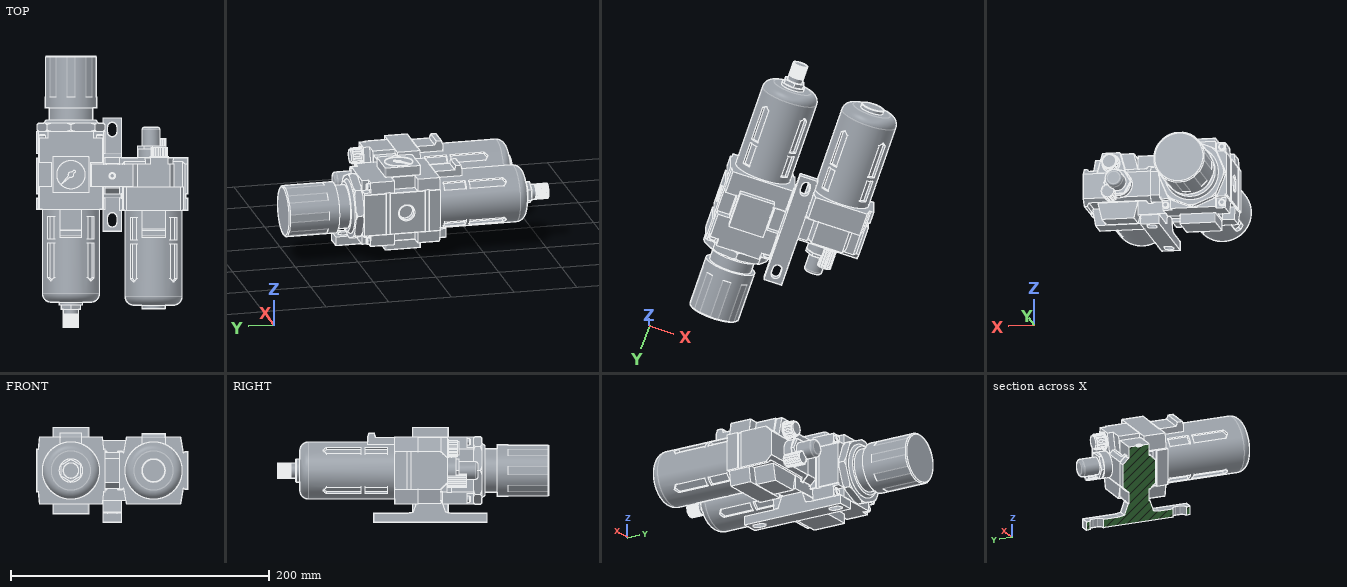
import cadquery as cq
import math


BODY_HALF_X = 26.5
BODY_HALF_Z = 26.0
SPACER_WIDTH = 11.0
SPACER_X = BODY_HALF_X + SPACER_WIDTH / 2
LUBRICATOR_X = 2 * SPACER_X
REGULATOR_SHOULDER_Y = -26.8
LUBRICATOR_SHOULDER_Y = -27.6
REAR_FACE_Y = 13.1

BOWL_RADIUS = 22.2
BOWL_END_FILLET = 7.0
BOWL_BOSS_RADIUS = 9.1
WINDOW_WIDTH = 7.0
WINDOW_FLOOR_RADIUS = 19.6
WINDOW_GAP = 3.0
SHORT_WINDOW_START = 5.6
SHORT_WINDOW_LENGTH = 17.4
LONG_WINDOW_LENGTH = 27.0
LONG_WINDOW_TIP = 2.4

CLAMP_NOTCH_HALF_Y = 9.3
CLAMP_NOTCH_X = 15.2
CLAMP_REACH = 16.0
CLAMP_TOP_Z = 23.4
CLAMP_BELOW_Z = 14.8
REGULATOR_PAD_HALF_Z = 16.6
LUBRICATOR_PAD_HALF_Z = 14.7
TROUGH_FLOOR_Z = 12.6
TROUGH_FLOOR_X = 22.4
TROUGH_RIM_X = 24.2
PAD_GROOVE_YS = (14.65, -16.45)
PAD_GROOVE_WIDTH = 3.3
PAD_GROOVE_FLOOR_X = 25.2

SIDES = (-1, 1)


def block(x_range, y_range, z_range):
    """Box between two X, two Y and two Z values."""
    size = [high - low for low, high in (x_range, y_range, z_range)]
    corner = (x_range[0], y_range[0], z_range[0])
    return cq.Workplane("XY").box(*size, centered=False).translate(corner)


def prism_y(outline, y_low, y_high):
    """Prism along Y with an outline of (x, z) points."""
    return cq.Workplane("XZ", origin=(0, y_low, 0)).polyline(outline).close().extrude(y_low - y_high)


def prism_x(outline, x_low, x_high):
    """Prism along X with an outline of (y, z) points."""
    return cq.Workplane("YZ", origin=(x_low, 0, 0)).polyline(outline).close().extrude(x_high - x_low)


def rod(radius, y_low, y_high, x=0, z=0):
    """Cylinder along Y."""
    return cq.Workplane("XZ", origin=(x, y_low, z)).circle(radius).extrude(y_low - y_high)


def turned(outline):
    """Solid of revolution about Y with an outline of (radius, y) points."""
    return cq.Workplane("XY").polyline(outline).close().revolve(360, (0, 0), (0, 1))


def polygon_rod(sides, circumdiameter, y_low, y_high, turn=0):
    """Regular polygonal bar along Y; one corner points along X before turning."""
    bar = cq.Workplane("XZ", origin=(0, y_low, 0)).polygon(sides, circumdiameter).extrude(y_low - y_high)
    return bar.rotate((0, 0, 0), (0, 1, 0), turn)


def hex_rod(across_flats, y_low, y_high, turn=0):
    """Hexagonal bar along Y, sized across its flats."""
    return polygon_rod(6, across_flats / math.cos(math.pi / 6), y_low, y_high, turn)


def fluted_rod(radius, depth, flutes, y_low, y_high):
    """Cylinder along Y with V-shaped flutes around it."""
    outline = []
    for index in range(flutes):
        crest = 2 * math.pi * index / flutes
        root = crest + math.pi / flutes
        outline.append((radius * math.cos(crest), radius * math.sin(crest)))
        outline.append(((radius - depth) * math.cos(root), (radius - depth) * math.sin(root)))
    return prism_y(outline, y_low, y_high)


def mirrored(shape, flip_x, flip_z):
    """Copy of a shape, flipped across the YZ plane, the XY plane or both."""
    if flip_x:
        shape = shape.mirror("YZ")
    if flip_z:
        shape = shape.mirror("XY")
    return shape


def window(y_start, length, tip):
    """Cutter for a flat-floored bowl window, on the +Z side; a tip points toward -Y."""
    half = WINDOW_WIDTH / 2
    y_end = y_start - length
    outline = [(-half, y_start), (half, y_start), (half, y_end), (0, y_end - tip), (-half, y_end)]
    if tip == 0:
        outline.pop(3)
    plane = cq.Workplane("XY", origin=(0, 0, WINDOW_FLOOR_RADIUS))
    return plane.polyline(outline).close().extrude(BOWL_RADIUS)


def bowl(shoulder_y, end_y):
    """Round-ended bowl with four pairs of windows."""
    shape = rod(BOWL_RADIUS, end_y, shoulder_y).faces("<Y").edges().fillet(BOWL_END_FILLET)
    short_y = shoulder_y - SHORT_WINDOW_START
    long_y = short_y - SHORT_WINDOW_LENGTH - WINDOW_GAP
    short_window = window(short_y, SHORT_WINDOW_LENGTH, 0)
    long_window = window(long_y, LONG_WINDOW_LENGTH, LONG_WINDOW_TIP)
    for angle in (45, 135, 225, 315):
        for cutter in (short_window, long_window):
            shape = shape.cut(cutter.rotate((0, 0, 0), (0, 1, 0), angle))
    return shape


def latch(half_width, shoulder_y, flat_z, bump_z, bump_y, bump_run):
    """Bowl release slide: a flat tongue ending in a thumb bump with a sloped nose."""
    end_y = -48.6
    nose_run = 1.0
    nose_drop = 3.1
    outline = [
        (shoulder_y, 0),
        (shoulder_y, flat_z),
        (bump_y, flat_z),
        (bump_y - bump_run, bump_z),
        (end_y + nose_run, bump_z),
        (end_y, bump_z - nose_drop),
        (end_y, 0),
    ]
    return prism_x(outline, -half_width, half_width)


REGULATOR_TOP_Y = 33.5


def regulator_housing():
    pad = REGULATOR_PAD_HALF_Z
    step_x = 25.3
    face_x = 24.4
    quarter = [(BODY_HALF_X, pad), (step_x, pad), (face_x, BODY_HALF_Z)]
    right = [(x, -z) for x, z in reversed(quarter)] + quarter
    outline = right + [(-x, -z) for x, z in right]
    housing = prism_y(outline, REGULATOR_SHOULDER_Y, REGULATOR_TOP_Y)

    notch_y = (-CLAMP_NOTCH_HALF_Y, CLAMP_NOTCH_HALF_Y)
    pocket_x = 17.6
    pocket_z = 18.0
    pocket_floor_y = 28.3
    screw_center = 22.2
    screw_radius = 2.5
    screw_height = 2.8
    screw_chamfer = 0.6
    groove_half_z = 17.1
    notch_floor_z = 16.2
    notch = block((CLAMP_NOTCH_X, step_x), notch_y, (notch_floor_z, BODY_HALF_Z))
    pocket = block((pocket_x, BODY_HALF_X), (pocket_floor_y, REGULATOR_TOP_Y), (pocket_z, BODY_HALF_Z))
    screw = rod(screw_radius, pocket_floor_y, pocket_floor_y + screw_height, screw_center, screw_center)
    screw = screw.faces(">Y").edges().chamfer(screw_chamfer)
    cutter = notch.union(pocket)
    for flip_x in (False, True):
        for flip_z in (False, True):
            housing = housing.cut(mirrored(cutter, flip_x, flip_z))
            housing = housing.union(mirrored(screw, flip_x, flip_z))

    for side in SIDES:
        x_range = sorted((side * PAD_GROOVE_FLOOR_X, side * (BODY_HALF_X + 1)))
        for y in PAD_GROOVE_YS:
            y_range = (y - PAD_GROOVE_WIDTH / 2, y + PAD_GROOVE_WIDTH / 2)
            housing = housing.cut(block(x_range, y_range, (-groove_half_z, groove_half_z)))
    return housing


def inlet_port():
    """Cutter for the inlet on the -X face, with its countersunk mouth."""
    radius = 11.45 / 2
    depth = 5.0
    mouth_chamfer = 0.8
    face = cq.Workplane("YZ", origin=(-BODY_HALF_X, 0, 0))
    cone = cq.Solid.makeCone(
        radius + mouth_chamfer, radius, mouth_chamfer, cq.Vector(-BODY_HALF_X, 0, 0), cq.Vector(1, 0, 0)
    )
    return face.circle(radius).extrude(depth).union(cq.Workplane(cone))


def gauge():
    """Square gauge block through the housing, with a dial and pointer on the +Z face."""
    size = 28.0
    half_z = 33.5
    edge_fillet = 0.6
    dial_radius = 11.0
    dial_depth = 0.5
    hub_radius = 2.1
    needle_length = 10.2
    needle_half_width = 1.0
    tail_length = 4.3
    tail_half_width = 0.9
    pointer_angle = 225
    shape = cq.Workplane("XY").box(size, size, 2 * half_z).edges("|Z").fillet(edge_fillet)
    dial = cq.Workplane("XY", origin=(0, 0, half_z - dial_depth))
    pointer = dial.circle(hub_radius).extrude(dial_depth)
    needle = [(0, -needle_half_width), (needle_length, 0), (0, needle_half_width)]
    pointer = pointer.union(dial.polyline(needle).close().extrude(dial_depth))
    tail_z = (half_z - dial_depth, half_z)
    pointer = pointer.union(block((-tail_length, 0), (-tail_half_width, tail_half_width), tail_z))
    pointer = pointer.rotate((0, 0, 0), (0, 0, 1), pointer_angle)
    return shape.cut(dial.circle(dial_radius).extrude(dial_depth)).union(pointer)


def adjusting_knob():
    """Bonnet nut, neck and the pressure knob with its grip flats."""
    knob_top_y = 92.0
    knob_low_y = 51.8
    knob_radius = 20.0
    knob_chamfer = 1.0
    flat_low_y = 60.0
    flat_distance = 19.75
    flat_count = 8
    neck_radius = 17.0
    nut_low_y = REGULATOR_TOP_Y
    nut_high_y = 39.9
    nut_radius = 26.3
    nut_chamfer = 1.1
    collar_high_y = 42.4
    collar_low_radius = 21.3
    collar_high_radius = 19.3

    knob = rod(knob_radius, knob_low_y, knob_top_y).faces(">Y").edges().chamfer(knob_chamfer)
    flat = block((-knob_radius, knob_radius), (flat_low_y, knob_top_y), (flat_distance, knob_radius + 1))
    for index in range(flat_count):
        knob = knob.cut(flat.rotate((0, 0, 0), (0, 1, 0), index * 360 / flat_count))

    blank = rod(nut_radius, nut_low_y, nut_high_y).edges().chamfer(nut_chamfer)
    nut = polygon_rod(8, 2 * nut_radius, nut_low_y, nut_high_y).intersect(blank)
    collar = [
        (0, nut_high_y),
        (collar_low_radius, nut_high_y),
        (collar_high_radius, collar_high_y),
        (0, collar_high_y),
    ]
    return nut.union(turned(collar)).union(rod(neck_radius, collar_high_y, knob_low_y)).union(knob)


def drain(bowl_end_y):
    """Drain boss, hexagon and knurled drain knob under the bowl."""
    boss_end_y = -101.1
    hex_end_y = -104.4
    stem_end_y = -108.0
    knob_end_y = -118.5
    hex_across_flats = 15.0
    stem_radius = 6.0
    knurl_root_radius = 11.45 / 2
    knurl_count = 24
    shape = rod(BOWL_BOSS_RADIUS, boss_end_y, bowl_end_y)
    shape = shape.union(hex_rod(hex_across_flats, hex_end_y, boss_end_y, 90))
    shape = shape.union(rod(stem_radius, stem_end_y, hex_end_y))
    knurl_depth = stem_radius - knurl_root_radius
    return shape.union(fluted_rod(stem_radius, knurl_depth, knurl_count, knob_end_y, stem_end_y))


def make_regulator():
    bowl_end_y = -98.9
    shape = regulator_housing().union(gauge()).cut(inlet_port())
    shape = shape.union(adjusting_knob())
    shape = shape.union(bowl(REGULATOR_SHOULDER_Y, bowl_end_y))
    slide = latch(
        half_width=8.3,
        shoulder_y=REGULATOR_SHOULDER_Y,
        flat_z=25.7,
        bump_z=29.2,
        bump_y=-42.8,
        bump_run=0.6,
    )
    shape = shape.union(slide)
    return shape.union(drain(bowl_end_y))


LOWER_BLOCK_TOP_Y = -9.5
RIB_BACK_Y = 8.1


def lubricator_housing():
    pad = LUBRICATOR_PAD_HALF_Z
    chamfer = 4.9
    back = [(REAR_FACE_Y - chamfer, pad), (REAR_FACE_Y, pad - chamfer)]
    outline = [(LUBRICATOR_SHOULDER_Y, -pad), (LUBRICATOR_SHOULDER_Y, pad)] + back
    outline += [(y, -z) for y, z in reversed(back)]
    housing = prism_x(outline, -BODY_HALF_X, BODY_HALF_X)

    for side_x in SIDES:
        for side_z in SIDES:
            trough = [(0, TROUGH_FLOOR_Z), (TROUGH_FLOOR_X, TROUGH_FLOOR_Z), (TROUGH_RIM_X, pad), (0, pad)]
            trough = [(side_x * x, side_z * z) for x, z in trough]
            housing = housing.cut(prism_y(trough, LUBRICATOR_SHOULDER_Y, REAR_FACE_Y))

    block_face_x = 21.0
    block_foot = (23.2, 13.5)
    lower = [(block_face_x, BODY_HALF_Z), block_foot]
    lower += [(x, -z) for x, z in reversed(lower)]
    lower += [(-x, -z) for x, z in lower]
    housing = housing.union(prism_y(lower, LUBRICATOR_SHOULDER_Y, LOWER_BLOCK_TOP_Y))

    rib_face_x = 12.6
    rib_face_z = 25.7
    rib_foot_x = 15.8
    rib = [(rib_face_x, rib_face_z), (rib_foot_x, TROUGH_FLOOR_Z)]
    rib += [(x, -z) for x, z in reversed(rib)]
    rib += [(-x, -z) for x, z in rib]
    housing = housing.union(prism_y(rib, LOWER_BLOCK_TOP_Y, RIB_BACK_Y))

    for side in SIDES:
        x_range = sorted((side * PAD_GROOVE_FLOOR_X, side * (BODY_HALF_X + 1)))
        y_range = (PAD_GROOVE_YS[1] - PAD_GROOVE_WIDTH / 2, PAD_GROOVE_YS[1] + PAD_GROOVE_WIDTH / 2)
        housing = housing.cut(block(x_range, y_range, (-pad, pad)))
    return housing


def flow_control():
    """Adjusting knob on its tongue at the back of the rib, and a fluted post below the sight dome."""
    knob_x = 4.4
    knob_z = 17.2
    tongue_half_face = 6.8
    tongue_half_foot = 11.2
    tongue_foot_z = 10.0
    tongue_face_z = 25.7
    tongue = [
        (knob_x - tongue_half_foot, tongue_foot_z),
        (knob_x + tongue_half_foot, tongue_foot_z),
        (knob_x + tongue_half_face, tongue_face_z),
        (knob_x - tongue_half_face, tongue_face_z),
    ]
    shape = prism_y(tongue, 0, REAR_FACE_Y)

    flange_radius = 7.0
    flange_end_y = 14.0
    knob_end_y = 20.9
    cap_end_y = 22.2
    knob_radius = 6.2
    cap_radius = 5.3
    flutes = 16
    flute_depth = 0.6
    shape = shape.union(rod(flange_radius, REAR_FACE_Y, flange_end_y, knob_x, knob_z))
    knob = fluted_rod(knob_radius, flute_depth, flutes, flange_end_y, knob_end_y)
    knob = knob.union(rod(cap_radius, knob_end_y, cap_end_y))
    shape = shape.union(knob.translate((knob_x, 0, knob_z)))

    post_z = -8.0
    post_end_y = 28.0
    post = fluted_rod(cap_radius, flute_depth, flutes, REAR_FACE_Y, post_end_y)
    return shape.union(post.translate((knob_x, 0, post_z)))


def sight_dome():
    """Sight dome on a round base and hexagon at the back."""
    dome_x = -2.0
    base_radius = 10.4
    base_end_y = 19.8
    hex_across_flats = 18.2
    hex_end_y = 22.3
    dome_radius = 7.0
    dome_end_y = 36.8
    dome_fillet = 2.0
    shape = rod(base_radius, REAR_FACE_Y, base_end_y)
    hexagon = hex_rod(hex_across_flats, base_end_y, hex_end_y)
    dome = rod(dome_radius, hex_end_y, dome_end_y).faces(">Y").edges().fillet(dome_fillet)
    return shape.union(hexagon).union(dome).translate((dome_x, 0, 0))


def make_lubricator():
    bowl_end_y = -101.2
    boss_end_y = -104.2
    boss_chamfer = 0.4
    shape = lubricator_housing().union(flow_control()).union(sight_dome())
    shape = shape.union(bowl(LUBRICATOR_SHOULDER_Y, bowl_end_y))
    slide = latch(
        half_width=9.1,
        shoulder_y=LUBRICATOR_SHOULDER_Y,
        flat_z=25.4,
        bump_z=28.6,
        bump_y=-42.2,
        bump_run=1.2,
    )
    shape = shape.union(slide)
    boss = rod(BOWL_BOSS_RADIUS, boss_end_y, bowl_end_y).faces("<Y").edges().chamfer(boss_chamfer)
    return shape.union(boss).translate((LUBRICATOR_X, 0, 0))


def spacer_core():
    """Chamfered block between the two mating faces."""
    half = 14.0
    flat_half = 9.4
    center_y = REAR_FACE_Y - half
    quarter = [(half, flat_half), (flat_half, half)]
    upper = quarter + [(-y, z) for y, z in reversed(quarter)]
    outline = [(center_y + y, z) for y, z in upper + [(-y, -z) for y, z in upper]]
    return prism_x(outline, BODY_HALF_X, BODY_HALF_X + SPACER_WIDTH)


def clamp():
    """Upper clamp plate, resting in the regulator notch and hooked into the lubricator trough."""
    y_low = -9.2
    y_high = 8.2
    neck_half_width = 4.4
    neck_low_z = 13.0
    left = SPACER_X - CLAMP_REACH
    right = SPACER_X + CLAMP_REACH
    outline = [
        (left, CLAMP_TOP_Z),
        (left, REGULATOR_PAD_HALF_Z),
        (BODY_HALF_X, REGULATOR_PAD_HALF_Z),
        (BODY_HALF_X, CLAMP_BELOW_Z),
        (LUBRICATOR_X - TROUGH_RIM_X, CLAMP_BELOW_Z),
        (LUBRICATOR_X - TROUGH_FLOOR_X, TROUGH_FLOOR_Z),
        (right, TROUGH_FLOOR_Z),
        (right, CLAMP_TOP_Z),
    ]
    plate = prism_y(outline, y_low, y_high)
    neck_x = (SPACER_X - neck_half_width, SPACER_X + neck_half_width)
    return plate.union(block(neck_x, (y_low, y_high), (neck_low_z, CLAMP_BELOW_Z)))


def clamp_screw_hole():
    """Cutter for the counterbored screw hole in the upper clamp."""
    screw_y = -0.9
    head_radius = 2.5
    head_depth = 0.5
    hole_radius = 1.75
    hole_depth = 1.0
    top = cq.Workplane("XY", origin=(SPACER_X, screw_y, CLAMP_TOP_Z))
    head = top.circle(head_radius).extrude(-head_depth)
    return head.union(top.circle(hole_radius).extrude(-hole_depth))


def wall_foot():
    """Slotted foot with the tapered pedestal that carries the lower clamp."""
    half_width = 7.3
    half_length = 44.0
    bottom_z = -40.1
    top_z = -33.0
    slot_y = 35.0
    slot_length = 11.0
    slot_width = 7.0
    x_range = (SPACER_X - half_width, SPACER_X + half_width)
    foot = block(x_range, (-half_length, half_length), (bottom_z, top_z))
    slots = cq.Workplane("XY", origin=(SPACER_X, 0, bottom_z)).pushPoints([(0, -slot_y), (0, slot_y)])
    foot = foot.cut(slots.slot2D(slot_length, slot_width, 90).extrude(top_z - bottom_z))

    pedestal_y = -0.7
    apron_half_y = 16.9
    base_half_y = 12.5
    base_z = -32.2
    top_half_y = 9.4
    side = [(apron_half_y, top_z), (base_half_y, base_z), (top_half_y, -CLAMP_TOP_Z)]
    outline = side + [(-y, z) for y, z in reversed(side)]
    return foot.union(prism_x([(pedestal_y + y, z) for y, z in outline], *x_range))


def make_spacer():
    upper = clamp()
    shape = spacer_core().union(upper).union(upper.mirror("XY"))
    return shape.union(wall_foot()).cut(clamp_screw_hole())


regulator = make_regulator()
lubricator = make_lubricator()
spacer = make_spacer()

bodies = [regulator, lubricator, spacer]
result = cq.Compound.makeCompound([body.solids().val() for body in bodies])